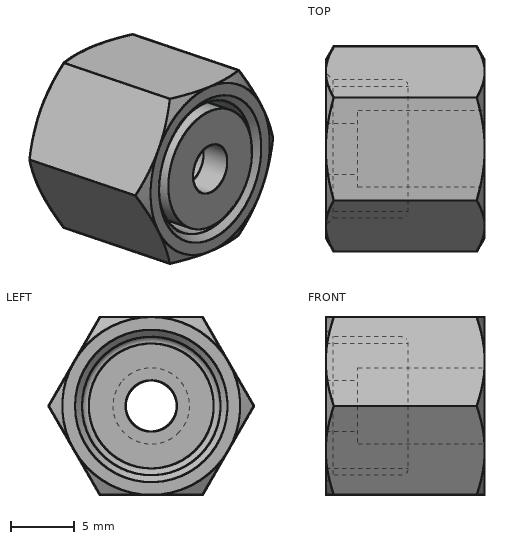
import cadquery as cq
import math

corner_diameter = 16.17
flat_radius = corner_diameter / 2 * math.cos(math.radians(30))
length = 12.5
corner_chamfer_angle = 30.0

mouth_radius = 6.0
groove_outer_radius = 5.45
plug_radius = 4.92
mouth_chamfer_depth = mouth_radius - groove_outer_radius
groove_depth = 6.47
groove_floor_fillet = 0.49

bore_radius = 2.0
bore_depth = 2.5
counterbore_radius = 3.0


def hexagonal_body():
    """Hexagonal bar with two corners on the Y axis."""
    return cq.Workplane("YZ").polygon(6, corner_diameter).extrude(length)


def corner_chamfer_envelope():
    """Turned solid whose conical ends meet the flats at the end faces."""
    corner_radius = corner_diameter / 2
    setback = (corner_radius - flat_radius) * math.tan(math.radians(corner_chamfer_angle))
    profile = (
        cq.Workplane("XY")
        .moveTo(0, 0)
        .lineTo(0, flat_radius)
        .lineTo(setback, corner_radius)
        .lineTo(length - setback, corner_radius)
        .lineTo(length, flat_radius)
        .lineTo(length, 0)
        .close()
    )
    return profile.revolve(360, (0, 0, 0), (1, 0, 0))


def ring_groove():
    """Groove with a chamfered mouth and a fillet where its outer wall meets the floor."""
    fillet_start = groove_depth - groove_floor_fillet
    fillet_center_radius = groove_outer_radius - groove_floor_fillet
    fillet_reach = groove_floor_fillet * math.cos(math.radians(45))
    profile = (
        cq.Workplane("XY")
        .moveTo(0, plug_radius)
        .lineTo(0, mouth_radius)
        .lineTo(mouth_chamfer_depth, groove_outer_radius)
        .lineTo(fillet_start, groove_outer_radius)
        .threePointArc(
            (fillet_start + fillet_reach, fillet_center_radius + fillet_reach),
            (groove_depth, fillet_center_radius),
        )
        .lineTo(groove_depth, plug_radius)
        .close()
    )
    return profile.revolve(360, (0, 0, 0), (1, 0, 0))


def stepped_bore():
    """Narrow bore opening into a wider one that runs out at the +X end."""
    bore = cq.Workplane("YZ").circle(bore_radius).extrude(bore_depth)
    counterbore = (
        cq.Workplane("YZ", origin=(bore_depth, 0, 0))
        .circle(counterbore_radius)
        .extrude(length - bore_depth)
    )
    return bore.union(counterbore)


result = (
    hexagonal_body()
    .intersect(corner_chamfer_envelope())
    .cut(ring_groove())
    .cut(stepped_bore())
)